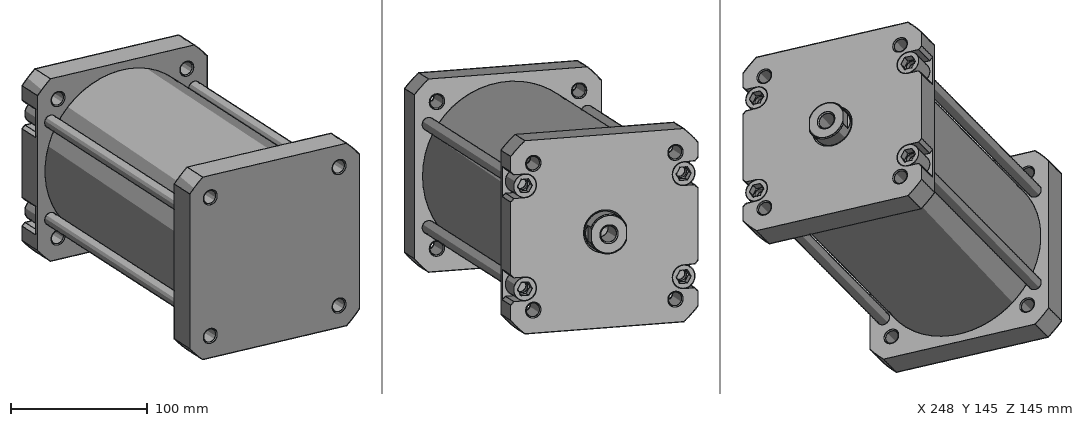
import cadquery as cq
import math

total_length = 248.0
rod_stickout = 10.5
cover_thickness = 22.0
cover_width = 145.0
cover_corner_diameter = 190.2
barrel_diameter = 132.5

front_face_x = rod_stickout
barrel_start_x = front_face_x + cover_thickness
barrel_end_x = total_length - cover_thickness
barrel_length = barrel_end_x - barrel_start_x

mount_offset = 55.0
mount_hole_diameter = 10.2
mount_chamfer = 0.87

tie_offset_y = 61.5
tie_offset_z = 38.7
tie_diameter = 10.0
head_diameter = 17.4
slot_width = 17.9
head_height = 18.8
slot_edge_chamfer = 2.5
socket_flats = 10.0
socket_depth = 6.0
socket_pilot_diameter = 8.2
socket_pilot_depth = 10.0

rod_diameter = 29.8
rod_flats = 27.3
rod_flat_length = 8.2
rod_tip_chamfer = 0.7
rod_bore_chamfer = 1.2
rod_hole_diameter = 12.2
rod_hole_chamfer = 1.0
rod_hole_depth = 19.8
drill_point_angle = 118.0

side_signs = (-1, 1)
tie_positions = [(y * tie_offset_y, z * tie_offset_z) for y in side_signs for z in side_signs]
mount_positions = [(y * mount_offset, z * mount_offset) for y in side_signs for z in side_signs]


def rod_along_x(start_x, length, diameter, y=0.0, z=0.0):
    """Cylinder parallel to X that starts at start_x."""
    return cq.Workplane("YZ", origin=(start_x, y, z)).circle(diameter / 2).extrude(length)


def cone_along_x(start_x, length, start_diameter, end_diameter, y=0.0, z=0.0):
    """Cone parallel to X that goes from one diameter to another."""
    cone = cq.Solid.makeCone(
        start_diameter / 2, end_diameter / 2, length, cq.Vector(start_x, y, z), cq.Vector(1, 0, 0)
    )
    return cq.Workplane(obj=cone)


def make_cover_blank(start_x):
    """Square plate with corners turned round, and four chamfered mounting holes."""
    plate = cq.Workplane("YZ", origin=(start_x, 0, 0)).rect(cover_width, cover_width)
    plate = plate.extrude(cover_thickness)
    plate = plate.intersect(rod_along_x(start_x, cover_thickness, cover_corner_diameter))
    chamfer_diameter = mount_hole_diameter + 2 * mount_chamfer
    end_x = start_x + cover_thickness
    for y, z in mount_positions:
        plate = plate.cut(rod_along_x(start_x, cover_thickness, mount_hole_diameter, y, z))
        plate = plate.cut(
            cone_along_x(start_x, mount_chamfer, chamfer_diameter, mount_hole_diameter, y, z)
        )
        plate = plate.cut(
            cone_along_x(end_x - mount_chamfer, mount_chamfer, mount_hole_diameter, chamfer_diameter, y, z)
        )
    return plate


def make_head_slot(y, z):
    """Round-ended slot for a tie rod head, with its two outer edges chamfered."""
    side = math.copysign(1, y)
    half_width = slot_width / 2
    edge_y = side * cover_width / 2
    chamfer_y = edge_y - side * slot_edge_chamfer
    mouth_half = half_width + slot_edge_chamfer
    return (
        cq.Workplane("YZ", origin=(front_face_x, 0, 0))
        .moveTo(y, z + half_width)
        .lineTo(chamfer_y, z + half_width)
        .lineTo(edge_y, z + mouth_half)
        .lineTo(edge_y, z - mouth_half)
        .lineTo(chamfer_y, z - half_width)
        .lineTo(y, z - half_width)
        .threePointArc((y - side * half_width, z), (y, z + half_width))
        .close()
        .extrude(head_height)
    )


def make_front_cover():
    """Cover with the rod bore, the head slots and the tie rod clearance holes."""
    cover = make_cover_blank(front_face_x)
    bore_mouth = rod_diameter + 2 * rod_bore_chamfer
    cover = cover.cut(rod_along_x(front_face_x, cover_thickness, rod_diameter))
    cover = cover.cut(cone_along_x(front_face_x, rod_bore_chamfer, bore_mouth, rod_diameter))
    for y, z in tie_positions:
        cover = cover.cut(make_head_slot(y, z))
        cover = cover.cut(rod_along_x(front_face_x, cover_thickness, tie_diameter, y, z))
    return cover


def make_rear_cover():
    """Plain cover that carries only the mounting holes."""
    return make_cover_blank(barrel_end_x)


def make_barrel():
    """Round barrel between the covers."""
    return rod_along_x(barrel_start_x, barrel_length, barrel_diameter)


def make_piston_rod():
    """Rod end with two wrench flats and a blind hole with a drill point."""
    rod = rod_along_x(0, barrel_start_x, rod_diameter).faces("<X").chamfer(rod_tip_chamfer)

    flat_depth = (rod_diameter - rod_flats) / 2
    for side in side_signs:
        flat_cut = (
            cq.Workplane("XY", origin=(0, 0, -rod_diameter / 2))
            .moveTo(0, side * rod_flats / 2)
            .lineTo(rod_flat_length, side * rod_flats / 2)
            .lineTo(rod_flat_length + flat_depth, side * rod_diameter / 2)
            .lineTo(0, side * rod_diameter / 2)
            .close()
            .extrude(rod_diameter)
        )
        rod = rod.cut(flat_cut)

    hole_mouth = rod_hole_diameter + 2 * rod_hole_chamfer
    point_length = rod_hole_diameter / 2 / math.tan(math.radians(drill_point_angle / 2))
    rod = rod.cut(rod_along_x(0, rod_hole_depth, rod_hole_diameter))
    rod = rod.cut(cone_along_x(0, rod_hole_chamfer, hole_mouth, rod_hole_diameter))
    return rod.cut(cone_along_x(rod_hole_depth, point_length, rod_hole_diameter, 0))


def make_tie_rod(y, z):
    """Socket head and shank, from the front cover face to the rear cover."""
    shank = rod_along_x(front_face_x, barrel_end_x - front_face_x, tie_diameter, y, z)
    head = rod_along_x(front_face_x, head_height, head_diameter, y, z)
    socket_corners = socket_flats / math.cos(math.pi / 6)
    socket = (
        cq.Workplane("YZ", origin=(front_face_x, y, z))
        .polygon(6, socket_corners)
        .extrude(socket_depth)
    )
    pilot = rod_along_x(front_face_x, socket_pilot_depth, socket_pilot_diameter, y, z)
    return head.union(shank).cut(socket).cut(pilot)


front_cover = make_front_cover()
rear_cover = make_rear_cover()
barrel = make_barrel()
piston_rod = make_piston_rod()
tie_rods = [make_tie_rod(y, z) for y, z in tie_positions]

result = cq.Compound.makeCompound(
    [
        front_cover.val(),
        rear_cover.val(),
        barrel.val(),
        piston_rod.val(),
        *[tie_rod.val() for tie_rod in tie_rods],
    ]
)